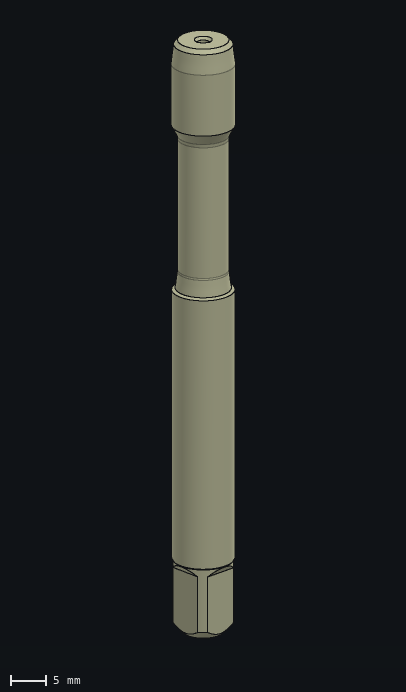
import cadquery as cq

length = 90.0

head_diameter = 9.2
nose_diameter = 8.5
tip_diameter = 7.3
tip_chamfer_height = 0.6
head_taper_height = 3.0
head_bottom = 77.1
head_back_cone_height = 1.6

neck_diameter = 7.3
collar_diameter = 7.5
collar_height = 0.5
flare_top = 55.1
flare_top_diameter = 7.4
flare_lip_height = 0.3
flare_diameter = 8.0
flare_height = 2.8

shank_diameter = 9.0
shank_top = 52.0
shank_bottom = 11.2

square_width = 7.0
square_corner_diameter = 8.6
square_top = 9.9
end_diameter = 5.85
end_chamfer_height = 1.4

bore_diameter = 1.7
countersink_diameter = 2.5
countersink_depth = (countersink_diameter - bore_diameter) / 2


def make_turned_body():
    """Revolve the (diameter, height) steps of the tool around Z."""
    collar_top = head_bottom - head_back_cone_height
    nose_bottom = length - tip_chamfer_height
    corner_shoulder = (shank_diameter - square_corner_diameter) / 2
    steps = [
        (0, 0),
        (end_diameter, 0),
        (square_corner_diameter, end_chamfer_height),
        (square_corner_diameter, shank_bottom - corner_shoulder),
        (shank_diameter, shank_bottom),
        (shank_diameter, shank_top),
        (flare_diameter, flare_top - flare_height),
        (flare_top_diameter, flare_top - flare_lip_height),
        (neck_diameter, flare_top),
        (neck_diameter, collar_top - collar_height),
        (collar_diameter, collar_top),
        (head_diameter, head_bottom),
        (head_diameter, nose_bottom - head_taper_height),
        (nose_diameter, nose_bottom),
        (tip_diameter, length),
        (0, length),
    ]
    points = [(diameter / 2, height) for diameter, height in steps]
    return cq.Workplane("XZ").polyline(points).close().revolve(360, (0, 0), (0, 1))


def make_flat_cutter():
    """Solid removed beside one flat, ending in a slope up to the shank."""
    flat = square_width / 2
    rim = shank_diameter / 2
    profile = [
        (flat, 0),
        (flat, square_top),
        (rim, shank_bottom),
        (shank_diameter, shank_bottom),
        (shank_diameter, 0),
    ]
    return cq.Workplane("XZ").polyline(profile).close().extrude(shank_diameter, both=True)


def make_bore():
    """Through bore with a countersink at the tip."""
    bore_radius = bore_diameter / 2
    profile = [
        (0, 0),
        (bore_radius, 0),
        (bore_radius, length - countersink_depth),
        (countersink_diameter / 2, length),
        (0, length),
    ]
    return cq.Workplane("XZ").polyline(profile).close().revolve(360, (0, 0), (0, 1))


result = make_turned_body()
for angle in (0, 90, 180, 270):
    result = result.cut(make_flat_cutter().rotate((0, 0, 0), (0, 0, 1), angle))
result = result.cut(make_bore())